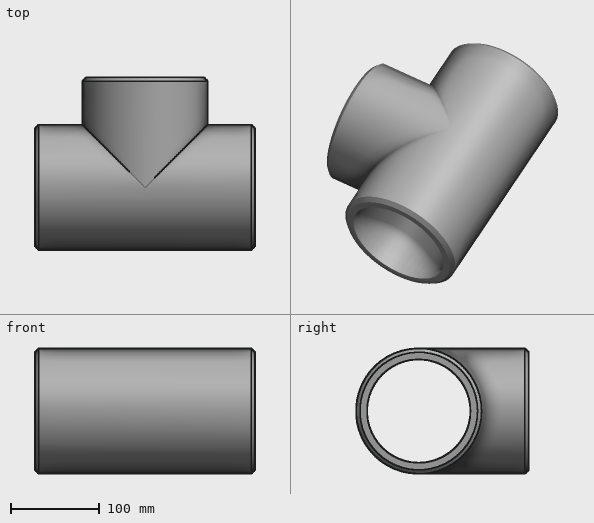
import cadquery as cq

run_length = 248.0
outer_diameter = 141.3
bore_diameter = 116.0
end_chamfer = 4.5
branch_length = run_length / 2


def cylinder_along_x(diameter):
    """Cylinder spanning the full run, centred on the origin."""
    return cq.Workplane("YZ").circle(diameter / 2).extrude(run_length / 2, both=True)


def cylinder_along_y(diameter):
    """Cylinder from the run axis to the branch end."""
    return cq.Workplane("XZ").circle(diameter / 2).extrude(-branch_length)


run = cylinder_along_x(outer_diameter).faces("<X or >X").edges().chamfer(end_chamfer)
branch = cylinder_along_y(outer_diameter).faces(">Y").edges().chamfer(end_chamfer)

bores = cylinder_along_x(bore_diameter).union(cylinder_along_y(bore_diameter))

result = run.union(branch).cut(bores)